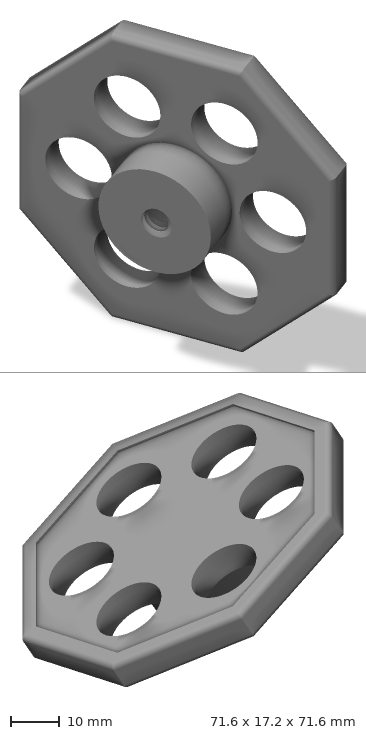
import cadquery as cq
import math

sides = 8
plate_width = 71.6
plate_thickness = 7.0
edge_radius = 1.2

recess_rim = 3.6
recess_width = plate_width - 2 * recess_rim
recess_depth = 0.6

hole_count = 6
hole_diameter = 15.0
hole_circle_radius = 22.0

total_depth = 17.2
hub_diameter = 25.4
hub_height = total_depth - plate_thickness
hub_face_y = -hub_height

bore_diameter = 7.95
bore_depth = hub_height

crest_diameter = 5.9
thread_pitch = 1.4
crest_width = 0.15
root_width = 1.3
thread_start_angle = 210.0


def cylinder(diameter, y_start, length):
    """Cylinder about the Y axis, running from y_start toward +Y."""
    base = cq.Vector(0, y_start, 0)
    return cq.Workplane(cq.Solid.makeCylinder(diameter / 2, length, base, cq.Vector(0, 1, 0)))


def octagon(width, y_start, length):
    """Octagonal prism about the Y axis with flats facing +/-X and +/-Z."""
    corner_diameter = width / math.cos(math.pi / sides)
    return (
        cq.Workplane("XZ", origin=(0, y_start, 0))
        .transformed(rotate=(0, 0, 180 / sides))
        .polygon(sides, corner_diameter)
        .extrude(-length)
    )


def make_plate():
    """Octagon with rounded rims, a recessed back and a ring of holes."""
    plate = octagon(plate_width, 0, plate_thickness)
    plate = plate.faces("<Y or >Y").edges().fillet(edge_radius)
    recess = octagon(recess_width, plate_thickness - recess_depth, recess_depth)
    holes = (
        cq.Workplane("XZ")
        .polarArray(hole_circle_radius, 0, 360, hole_count)
        .circle(hole_diameter / 2)
        .extrude(-plate_thickness)
    )
    return plate.cut(recess).cut(holes)


def make_knob():
    """Plate and hub in one piece, with the blind bore."""
    hub = cylinder(hub_diameter, hub_face_y, hub_height)
    bore = cylinder(bore_diameter, hub_face_y, bore_depth)
    return make_plate().union(hub).cut(bore)


def thread_helix(radius, y_offset):
    """Right-handed helix about the Y axis that overruns the bore by a turn at each end."""
    origin = cq.Vector(0, 0, 0)
    helix = cq.Wire.makeHelix(thread_pitch, bore_depth + 2 * thread_pitch, radius)
    helix = helix.rotate(origin, cq.Vector(0, 0, 1), thread_start_angle)
    helix = helix.rotate(origin, cq.Vector(1, 0, 0), -90)
    return helix.translate(cq.Vector(0, hub_face_y - thread_pitch + y_offset, 0))


def make_thread():
    """Helical ridge of trapezoid section, trimmed flush with both ends of the bore."""
    section = [
        (bore_diameter / 2, -root_width / 2),
        (crest_diameter / 2, -crest_width / 2),
        (crest_diameter / 2, crest_width / 2),
        (bore_diameter / 2, root_width / 2),
    ]
    helices = [thread_helix(radius, y_offset) for radius, y_offset in section]

    faces = []
    for helix, next_helix in zip(helices, helices[1:] + helices[:1]):
        faces.extend(cq.Face.makeRuledSurface(helix, next_helix).Faces())

    for end in (0, 1):
        corners = [helix.positionAt(end) for helix in helices]
        faces.append(cq.Face.makeFromWires(cq.Wire.makePolygon(corners, close=True)))

    ridge = cq.Workplane(cq.Solid.makeSolid(cq.Shell.makeShell(faces)))

    return ridge.intersect(cylinder(hub_diameter, hub_face_y, bore_depth))


knob = make_knob()
thread = make_thread()

result = cq.Compound.makeCompound([knob.solids().val(), thread.solids().val()])